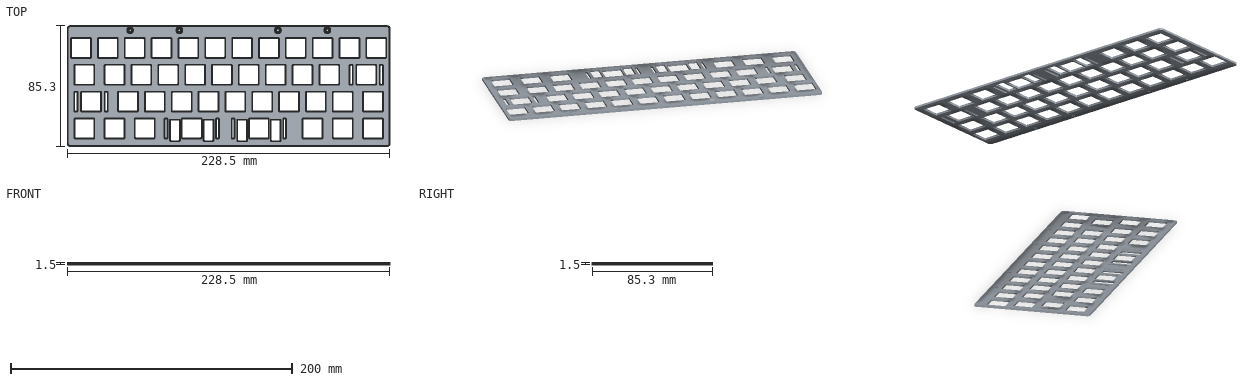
import cadquery as cq

LENGTH = 228.5
WIDTH = 85.3
THICKNESS = 1.5
PLATE_CORNER_RADIUS = 2.0

KEY_UNITS = 12
PITCH = LENGTH / KEY_UNITS
ROW_COUNT = 4
FRONT_MARGIN = (WIDTH - ROW_COUNT * PITCH) / 3
SWITCH_SIZE = 14.0
CUTOUT_CORNER_RADIUS = 0.5

QUARTER = PITCH / 4
NUMBER_ROW = [4] * KEY_UNITS
UPPER_ROW = [5] + [4] * 9 + [7]
HOME_ROW = [7] + [4] * 9 + [5]
BOTTOM_ROW = [5, 4, 5, 9, 11, 5, 4, 5]
ROWS = [NUMBER_ROW, UPPER_ROW, HOME_ROW, BOTTOM_ROW]
UPPER, HOME, BOTTOM = 1, 2, 3

SIDE_SLOT_WIDTH = 2.0
SIDE_SLOT_OFFSET = 10.7
UPPER_WIDE_KEY = len(UPPER_ROW) - 1
HOME_WIDE_KEY = 0

SPACE_KEYS = [3, 4]
STABILIZER_WIDTH = 6.9
STABILIZER_HEIGHT = 15.0
STABILIZER_OFFSET = 12.0
STABILIZER_DROP = 1.4
OUTER_SLOT_WIDTH = 1.8
OUTER_SLOT_OFFSET = 18.3

SCREW_DIAMETER = 2.3
COUNTERSINK_DIAMETER = 4.3
COUNTERSINK_ANGLE = 90
SCREW_EDGE_DISTANCE = FRONT_MARGIN
SCREW_X = [35.0, 70.0]


def key_x(row, key):
    """X of the centre of a key, with key 0 at the left end of its row."""
    widths = ROWS[row]
    quarters_from_left = sum(widths[:key]) + widths[key] / 2
    return quarters_from_left * QUARTER - LENGTH / 2


def row_y(row):
    """Y of a key row, with row 0 at the back."""
    rows_in_front = ROW_COUNT - 1 - row
    return -WIDTH / 2 + FRONT_MARGIN + (rows_in_front + 0.5) * PITCH


def cut_openings(plate, points, width, height):
    """Cut the same rounded rectangular opening through the plate at every point."""
    cutter = (
        cq.Workplane("XY")
        .pushPoints(points)
        .rect(width, height)
        .extrude(THICKNESS)
        .edges("|Z")
        .fillet(CUTOUT_CORNER_RADIUS)
    )
    return plate.cut(cutter)


def both_sides(row, key, offset, drop=0):
    """Points to the left and right of a key, moved toward the front edge by the drop."""
    return [(key_x(row, key) + side * offset, row_y(row) - drop) for side in (-1, 1)]


plate = cq.Workplane("XY").box(LENGTH, WIDTH, THICKNESS, centered=(True, True, False))
plate = plate.edges("|Z").fillet(PLATE_CORNER_RADIUS)

switch_points = [(key_x(row, key), row_y(row)) for row in range(ROW_COUNT) for key in range(len(ROWS[row]))]
plate = cut_openings(plate, switch_points, SWITCH_SIZE, SWITCH_SIZE)

side_slots = both_sides(UPPER, UPPER_WIDE_KEY, SIDE_SLOT_OFFSET)
side_slots += both_sides(HOME, HOME_WIDE_KEY, SIDE_SLOT_OFFSET)
plate = cut_openings(plate, side_slots, SIDE_SLOT_WIDTH, SWITCH_SIZE)

for space_key in SPACE_KEYS:
    stabilizers = both_sides(BOTTOM, space_key, STABILIZER_OFFSET, STABILIZER_DROP)
    plate = cut_openings(plate, stabilizers, STABILIZER_WIDTH, STABILIZER_HEIGHT)
    outer_slots = both_sides(BOTTOM, space_key, OUTER_SLOT_OFFSET)
    plate = cut_openings(plate, outer_slots, OUTER_SLOT_WIDTH, SWITCH_SIZE)

screw_y = WIDTH / 2 - SCREW_EDGE_DISTANCE
screw_points = [(side * x, screw_y) for x in SCREW_X for side in (-1, 1)]
result = (
    plate.faces(">Z")
    .workplane(origin=(0, 0, THICKNESS))
    .pushPoints(screw_points)
    .cskHole(SCREW_DIAMETER, COUNTERSINK_DIAMETER, COUNTERSINK_ANGLE)
)